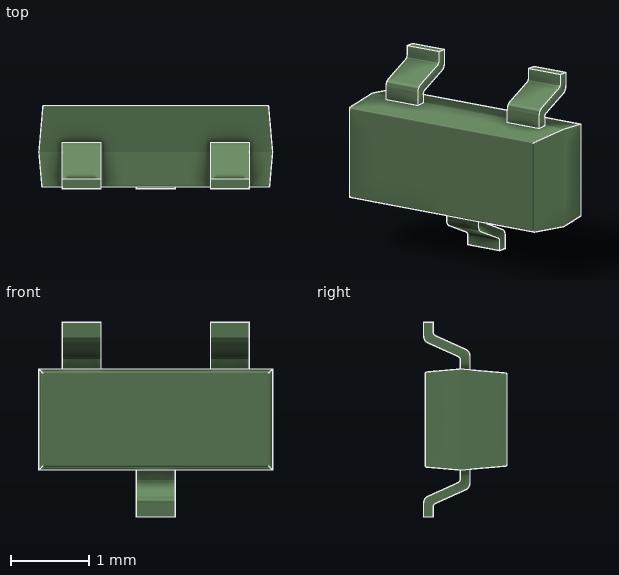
import cadquery as cq
import math

body_length = 3.0
body_height = 1.3
front_depth = 0.45
back_depth = 0.6
draft_angle = 5.0
edge_radius = 0.02

lead_width = 0.5
lead_thickness = 0.125
lead_offset = 0.95
overall_height = 2.5
lead_tip = overall_height / 2
standoff = 0.02
inner_bend_radius = 0.05
outer_bend_radius = 0.1
shoulder_bend = 0.795
slope_angle = 24.3
foot_front = -(front_depth + standoff)
foot_back = foot_front + lead_thickness


def make_half(depth):
    """Drafted half of the body; its end face edges are rounded."""
    plane = cq.Workplane("XZ").rect(body_length, body_height)
    half = plane.extrude(depth, taper=draft_angle)
    return half.faces("<Y").edges().fillet(edge_radius)


def make_body():
    front_half = make_half(front_depth)
    back_half = make_half(back_depth).mirror("XZ")
    return front_half.union(back_half, clean=False)


def make_lead(x_center, side, body):
    """Bent lead on the top (side = 1) or bottom (side = -1), butting against the body."""
    slope = math.tan(math.radians(slope_angle))
    slant_height = lead_thickness / math.cos(math.radians(slope_angle))

    def lower_slant(y):
        return shoulder_bend - slope * y

    def upper_slant(y):
        return lower_slant(y) + slant_height

    root = body_height / 2 - lead_thickness
    profile = [
        (0, root),
        (0, shoulder_bend),
        (foot_front, lower_slant(foot_front)),
        (foot_front, lead_tip),
        (foot_back, lead_tip),
        (foot_back, upper_slant(foot_back)),
        (lead_thickness, upper_slant(lead_thickness)),
        (lead_thickness, root),
    ]
    strip = cq.Workplane("YZ").polyline(profile).close().extrude(lead_width / 2, both=True)

    def bend_edge(y, z):
        return cq.selectors.NearestToPointSelector((0, y, z))

    bends = [
        (0, shoulder_bend, inner_bend_radius),
        (foot_front, lower_slant(foot_front), outer_bend_radius),
        (foot_back, upper_slant(foot_back), inner_bend_radius),
        (lead_thickness, upper_slant(lead_thickness), outer_bend_radius),
    ]
    for y, z, radius in bends:
        strip = strip.edges("|X").edges(bend_edge(y, z)).fillet(radius)

    if side < 0:
        strip = strip.mirror("XY")
    return strip.translate((x_center, 0, 0)).cut(body)


body = make_body()
lead_places = [(-lead_offset, 1), (lead_offset, 1), (0, -1)]
leads = [make_lead(x_center, side, body) for x_center, side in lead_places]

result = cq.Compound.makeCompound([body.solids().val(), *[lead.solids().val() for lead in leads]])